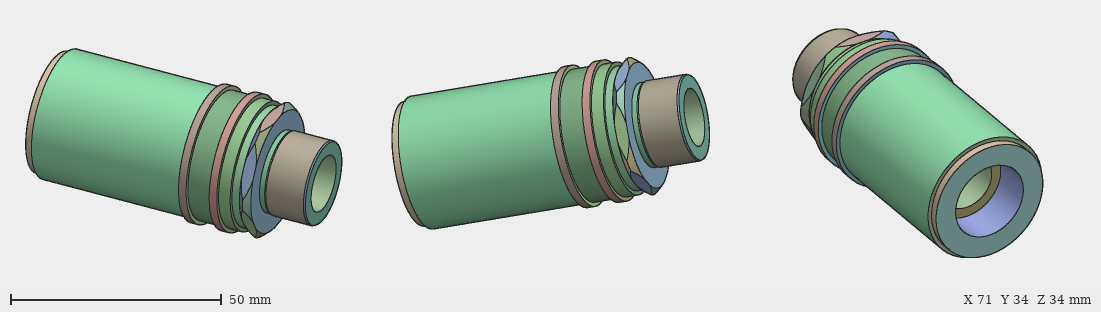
import cadquery as cq
import math


total_length = 71.0
rim_diameter = 30.0
rim_length = 2.0
body_diameter = 32.0
body_end = 54.0

ring_diameter = 34.0
ring_width = 2.0
ring_starts = (41.0, 49.0)

collar_start = 56.0
collar_width = 3.0
collar_sides = 6
collar_across_flats = rim_diameter
collar_across_corners = collar_across_flats / math.cos(math.pi / collar_sides)
collar_ridge_diameter = 33.1
collar_face_diameter = 30.25
collar_end = collar_start + collar_width

spigot_diameter = 20.9
spigot_start = 60.35
spigot_taper_length = 0.4
neck_diameter = 20.45

bore_diameter = 19.0
bore_depth = 10.0
through_hole_diameter = 14.0


def cylinder(diameter, start, end):
    """Solid cylinder on the X axis between two X positions."""
    return cq.Workplane("YZ", origin=(start, 0, 0)).circle(diameter / 2).extrude(end - start)


def hex_collar():
    """Hexagon with flats on top and bottom, trimmed by two opposed cones."""
    double_cone = (
        cq.Workplane("XY")
        .moveTo(collar_start, 0)
        .lineTo(collar_start, collar_face_diameter / 2)
        .lineTo(collar_start + collar_width / 2, collar_ridge_diameter / 2)
        .lineTo(collar_end, collar_face_diameter / 2)
        .lineTo(collar_end, 0)
        .close()
        .revolve(360, (0, 0, 0), (1, 0, 0))
    )
    hexagon = (
        cq.Workplane("YZ", origin=(collar_start, 0, 0))
        .polygon(collar_sides, collar_across_corners)
        .extrude(collar_width)
    )
    return double_cone.intersect(hexagon)


def spigot():
    """Relief neck and plain spigot with a short taper at each end."""
    return (
        cq.Workplane("XY")
        .moveTo(collar_end, 0)
        .lineTo(collar_end, neck_diameter / 2)
        .lineTo(spigot_start, neck_diameter / 2)
        .lineTo(spigot_start + spigot_taper_length, spigot_diameter / 2)
        .lineTo(total_length - spigot_taper_length, spigot_diameter / 2)
        .lineTo(total_length, neck_diameter / 2)
        .lineTo(total_length, 0)
        .close()
        .revolve(360, (0, 0, 0), (1, 0, 0))
    )


result = cylinder(rim_diameter, 0, collar_start)
result = result.union(cylinder(body_diameter, rim_length, body_end))
for ring_start in ring_starts:
    result = result.union(cylinder(ring_diameter, ring_start, ring_start + ring_width))
result = result.union(hex_collar())
result = result.union(spigot())

result = result.cut(cylinder(bore_diameter, 0, bore_depth))
result = result.cut(cylinder(through_hole_diameter, 0, total_length))